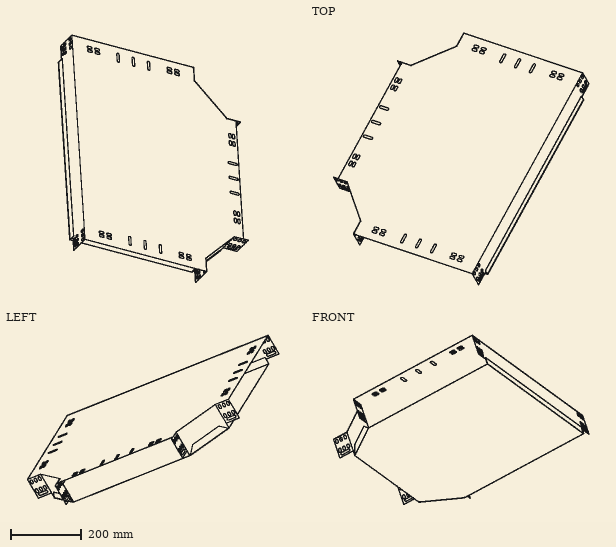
import cadquery as cq
import math


sheet = 0.8
run_length = 692.0
tray_width = 401.5
overall_depth = 81.5
tab_length = 45.0
tab_depth = 65.0
branch_setback = 15.0

slot_width = 7.0
long_slot = 30.0

floor_slot_inset = 36.0
floor_slot_pitch = 50.0
short_floor_slot = 15.0
floor_group_inset = 33.0
floor_group_offset = 131.0
floor_group_pitch_along = 12.0
floor_group_pitch_across = 25.0

tab_slot_inset = 22.0
tab_slot_pitch = 14.0
short_tab_slot = 12.5
short_tab_slot_depths = (12.0, 42.0)
long_tab_slot_depth = 55.5

lid_inset = 45.0
lip_height = 22.5

turn = -144.0
tilt = 34.2
swing = -149.8
shift = (20.0, 16.0, 36.0)

half_run = run_length / 2
half_width = tray_width / 2
branch_end = half_run
wall_depth = overall_depth - sheet
slant_sum = half_run - tab_length + half_width

run_ends = [(0, half_run), (180, half_run)]
branch = (90, branch_end)
ends = run_ends + [branch]


def mirrored(right_half):
    """Outline that is symmetric about Y, from the points of its +X half."""
    left_half = [(-x, y) for x, y in reversed(right_half)]
    return right_half + left_half


def prism(outline, bottom, height):
    return cq.Workplane("XY", origin=(0, 0, bottom)).polyline(outline).close().extrude(height)


def at_end(shape, end):
    """Move a shape made for an end at the origin, with the tray on its -X side, to that end."""
    angle, distance = end
    return shape.translate((distance, 0, 0)).rotate((0, 0, 0), (0, 0, 1), angle)


def tray_outline(inset):
    """Plan of the tray, with the walls moved inwards by inset and the ends left in place."""
    shoulder = half_width - inset
    slant = slant_sum - inset * math.sqrt(2)
    return mirrored([
        (half_run, -shoulder),
        (half_run, shoulder),
        (slant - shoulder, shoulder),
        (shoulder, slant - shoulder),
        (shoulder, branch_end),
    ])


def floor_slots():
    """Slots through the floor near one end: three long ones between two groups of four."""
    slots = [
        cq.Workplane("XY")
        .center(-floor_slot_inset, 0)
        .rarray(7, floor_slot_pitch, 1, 3)
        .slot2D(long_slot, slot_width)
        .extrude(-2 * sheet)
    ]
    for offset in (-floor_group_offset, floor_group_offset):
        slots.append(
            cq.Workplane("XY")
            .center(-floor_group_inset, offset)
            .rarray(floor_group_pitch_along, floor_group_pitch_across, 2, 2)
            .slot2D(short_floor_slot, slot_width, 90)
            .extrude(-2 * sheet)
        )
    return slots


def tab_slots():
    """Cutters across the whole tray, which slot both tabs of one end."""
    slots = [
        cq.Workplane("XZ")
        .center(-tab_slot_inset, -long_tab_slot_depth)
        .slot2D(long_slot, slot_width)
        .extrude(tray_width, both=True)
    ]
    for depth in short_tab_slot_depths:
        slots.append(
            cq.Workplane("XZ")
            .center(-tab_slot_inset, -depth)
            .rarray(tab_slot_pitch, 7, 3, 1)
            .slot2D(short_tab_slot, slot_width, 90)
            .extrude(tray_width, both=True)
        )
    return slots


def space_below_tabs():
    """Block that shortens the two walls of one end to the depth of the tabs."""
    below = wall_depth - tab_depth
    return (
        cq.Workplane("XY", origin=(-tab_length, 0, -wall_depth))
        .box(tab_length, tray_width, below, centered=(False, True, False))
    )


def branch_floor_edge():
    """Strip of floor between the branch tabs, to be removed."""
    return (
        cq.Workplane("XY", origin=(-branch_setback, 0, -sheet))
        .box(branch_setback, tray_width - 2 * sheet, sheet, centered=(False, True, False))
    )


def make_tray():
    block = prism(tray_outline(0), -wall_depth, wall_depth)
    hollow = prism(tray_outline(sheet), -wall_depth, wall_depth - sheet)
    tray = block.cut(hollow)
    for end in ends:
        for cutter in [space_below_tabs()] + floor_slots() + tab_slots():
            tray = tray.cut(at_end(cutter, end))
    return tray.cut(at_end(branch_floor_edge(), branch))


lid_side = half_run - lid_inset
lid_front = branch_end - lid_inset
lid_back = -half_width - sheet
lid_slant_sum = slant_sum + sheet * math.sqrt(2)
slant_start = (lid_side, lid_slant_sum - lid_side)
slant_end = (lid_slant_sum - lid_front, lid_front)


def back_lip():
    return (
        cq.Workplane("XY", origin=(0, lid_back, -overall_depth))
        .box(2 * lid_side, sheet, lip_height, centered=(True, False, False))
    )


def slanting_lip():
    """Lip on the +X slanting edge, with both ends cut at 45 degrees."""
    length = math.dist(slant_start, slant_end)
    outer_face = cq.Plane(
        origin=(*slant_start, -overall_depth), xDir=(-1, 1, 0), normal=(1, 1, 0)
    )
    return (
        cq.Workplane(outer_face)
        .polyline([(0, 0), (length, 0), (length - lip_height, lip_height), (lip_height, lip_height)])
        .close()
        .extrude(-sheet)
    )


def make_lid():
    plate = prism(mirrored([(lid_side, lid_back), slant_start, slant_end]), -overall_depth, sheet)
    slanting = slanting_lip()
    return plate.union(back_lip()).union(slanting).union(slanting.mirror("YZ"))


def placed(body):
    turned = body.rotate((0, 0, 0), (0, 0, 1), turn)
    tilted = turned.rotate((0, 0, 0), (1, 0, 0), tilt)
    return tilted.rotate((0, 0, 0), (0, 0, 1), swing).translate(shift)


tray = placed(make_tray())
lid = placed(make_lid())

result = cq.Compound.makeCompound([tray.solids().val(), lid.solids().val()])